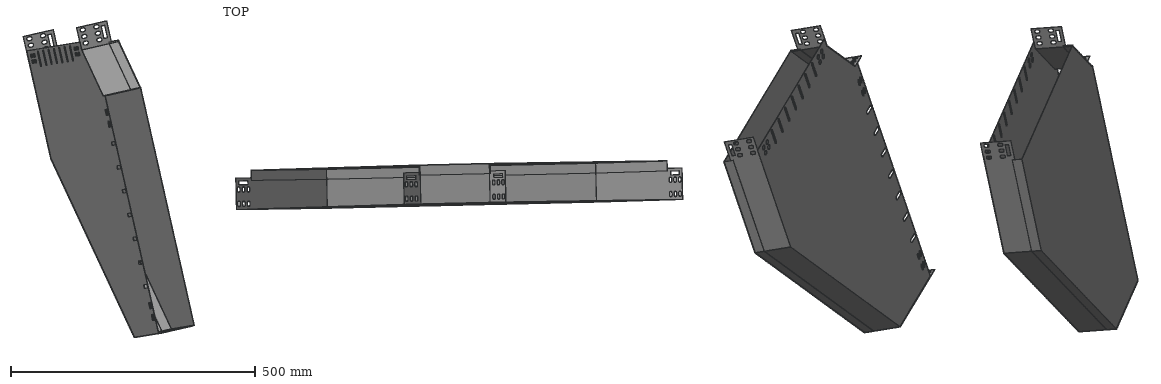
import cadquery as cq
import math


tray_width = 500.0
inner_chamfer = tray_width / 5
inner_straight = 16.5
outer_chamfer = 390.0
leg_length = tray_width + inner_chamfer + inner_straight

sheet = 1.0
wall_height = 59.5
tab_height = 65.0
overall_depth = 81.0
lid_setback = 14.0

tab_length = 30.0
tab_tip = leg_length + tab_length
tab_hole_width = 7.0
tab_hole_length = 11.0
tab_hole_rows = (12.0, 41.0)
tab_hole_first = 7.0
tab_hole_pitch = 14.0
tab_hole_columns = 3
tab_window_length = 26.0
tab_window_height = 7.0
tab_window_start = 8.0
tab_window_level = 55.0

long_slot_count = 7
long_slot_pitch = tray_width / 10
long_slot_length = 32.0
long_slot_width = 7.0
long_slot_inset = 20.0
short_slot_length = 13.0
short_slot_width = 7.0
short_slot_pitch = 25.0
short_slot_from_wall = 35.0
short_slot_insets = (12.0, 24.0)

tilt = 1.5
bend_angle = 45 + tilt
yaw = 1.3
roll = -0.45


def outline(inset, end):
    """Plan outline, moved in from the walls by inset and cut off at the given leg length."""
    corner = inset * (math.sqrt(2) - 1)
    outer_start = outer_chamfer + corner
    inner_start = tray_width + inner_chamfer - corner
    far_wall = tray_width - inset
    half = [(outer_start, inset), (end, inset), (end, far_wall), (inner_start, far_wall)]
    return half + [(z, x) for x, z in reversed(half)]


def prism(points, start, depth):
    """Solid on the plan outline, from the start level along +Y."""
    return cq.Workplane("XZ", origin=(0, start, 0)).polyline(points).close().extrude(-depth)


def side_walls(start, height, end):
    """Both side walls of the bend, open at the two ends."""
    return prism(outline(0, end), start, height).cut(prism(outline(sheet, end + sheet), start, height))


def mirrored(body):
    """Copy of a body on the other leg of the bend."""
    return body.rotate((0, 0, 0), (1, 0, 1), 180).mirror("XZ")


def coupling_tab(wall_start):
    """Tab on the X leg, in the wall that begins at Z = wall_start."""
    root = leg_length - lid_setback
    plane = cq.Workplane("XY", origin=(root, 0, wall_start))
    return plane.rect(tab_tip - root, tab_height, centered=False).extrude(sheet)


def tab_openings(wall_start):
    """Cutter for the six upright holes and the window of one tab."""
    plane = cq.Workplane("XY", origin=(0, 0, wall_start))
    holes = [
        (tab_tip - tab_hole_first - column * tab_hole_pitch, row)
        for column in range(tab_hole_columns)
        for row in tab_hole_rows
    ]
    cutter = plane.pushPoints(holes).slot2D(tab_hole_length, tab_hole_width, 90).extrude(sheet)
    window_middle = tab_tip - tab_window_start - tab_window_length / 2
    window = plane.center(window_middle, tab_window_level).rect(tab_window_length, tab_window_height)
    return cutter.union(window.extrude(sheet))


def floor_slots():
    """Cutter for the slots along the open end of the X leg."""
    plane = cq.Workplane("XZ")
    middle = tray_width / 2
    long_middle = (long_slot_count - 1) / 2
    long_points = [
        (leg_length - long_slot_inset, middle + (index - long_middle) * long_slot_pitch)
        for index in range(long_slot_count)
    ]
    cutter = plane.pushPoints(long_points).slot2D(long_slot_length, long_slot_width).extrude(-sheet)
    near = [short_slot_from_wall, short_slot_from_wall + short_slot_pitch]
    short_points = [
        (leg_length - inset, z)
        for inset in short_slot_insets
        for z in near + [tray_width - distance for distance in near]
    ]
    short_slots = plane.pushPoints(short_points).slot2D(short_slot_length, short_slot_width, 90)
    return cutter.union(short_slots.extrude(-sheet))


def make_tray():
    """Floor, side walls and four coupling tabs, with all slots and holes."""
    tray = prism(outline(0, leg_length), 0, sheet).union(side_walls(0, wall_height, leg_length))
    cutters = [floor_slots()]
    for wall_start in (0, tray_width - sheet):
        tab = coupling_tab(wall_start)
        tray = tray.union(tab).union(mirrored(tab))
        cutters.append(tab_openings(wall_start))
    for cutter in cutters:
        tray = tray.cut(cutter).cut(mirrored(cutter))
    return tray


def make_lid():
    """Cover plate whose skirt stands on the top edges of the tray walls."""
    lid_end = leg_length - lid_setback
    plate = prism(outline(0, lid_end), overall_depth - sheet, sheet)
    return plate.union(side_walls(wall_height, overall_depth - wall_height, lid_end))


def placed(body):
    """Turn a body to the final attitude."""
    body = body.rotate((0, 0, 0), (0, -1, 0), bend_angle)
    body = body.rotate((0, 0, 0), (0, 0, 1), yaw)
    return body.rotate((0, 0, 0), (1, 0, 0), roll)


tray = placed(make_tray())
lid = placed(make_lid())

result = cq.Compound.makeCompound([tray.val(), lid.val()])